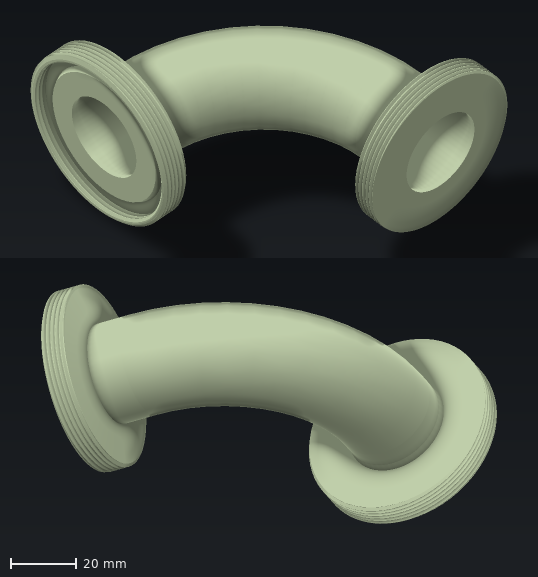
import cadquery as cq
import math


TUBE_RADIUS = 16.0
BORE_RADIUS = 14.4
BEND_RADIUS = 55.0
OUTLET_FACE_X = 76.0
OUTLET_AXIS_Y = 73.38

INLET_CREST_RADIUS = 30.5
INLET_THICKNESS = 9.4
INLET_FACE_RADIUS = 29.0
INLET_BEVEL_LENGTH = 0.5
INLET_NECK_RADIUS = 16.4
INLET_NECK_END = 12.0

SOCKET_ROOT_RADIUS = 28.8
SOCKET_DEPTH = 4.8
SEAT_BASE_RADIUS = 24.0
SEAT_TOP_RADIUS = 23.0
SEAT_HEIGHT = 1.9

OUTLET_CREST_RADIUS = 29.0
OUTLET_RIM_WIDTH = 8.0
OUTLET_CONE_END = 9.8

THREAD_PITCH = 1.5
THREAD_DEPTH = 0.95
CREST_WIDTH = 0.15
RIDGE_BASE_WIDTH = 1.35
RIDGE_EMBED = 0.1
OVERRUN_TURNS = 2
INLET_THREAD_PHASE = 0.85
SOCKET_THREAD_PHASE = 0.85
OUTLET_THREAD_PHASE = 0.75

INLET_FRAME = cq.Plane(origin=(0, 0, 0), xDir=(1, 0, 0), normal=(0, 1, 0))
OUTLET_FRAME = cq.Plane(origin=(OUTLET_FACE_X, OUTLET_AXIS_Y, 0), xDir=(0, 1, 0), normal=(-1, 0, 0))


def revolved(points):
    """Solid of revolution about local Z from (radius, depth) points."""
    profile = cq.Workplane("XZ").polyline(points).close()
    return profile.revolve(360, (0, 0, 0), (0, 1, 0))


def cylinder(radius, start, end):
    """Cylinder about local Z between two depths."""
    return cq.Workplane("XY").workplane(offset=start).circle(radius).extrude(end - start)


def helical_ridge(base_radius, tip_radius, first_crest, turns):
    """Helical ridge about local Z whose first crest is at the given depth on the local +X side."""
    helix = cq.Wire.makeHelix(
        THREAD_PITCH, turns * THREAD_PITCH, base_radius, cq.Vector(0, 0, first_crest)
    )
    return (
        cq.Workplane("XZ")
        .polyline([
            (base_radius, first_crest - RIDGE_BASE_WIDTH / 2),
            (tip_radius, first_crest - CREST_WIDTH / 2),
            (tip_radius, first_crest + CREST_WIDTH / 2),
            (base_radius, first_crest + RIDGE_BASE_WIDTH / 2),
        ])
        .close()
        .sweep(cq.Workplane(helix), isFrenet=True)
    )


def thread_span(length, phase):
    """Full-length rod limits, first crest and turns of a thread that overruns both ends."""
    first_crest = phase - OVERRUN_TURNS * THREAD_PITCH
    turns = math.ceil(length / THREAD_PITCH) + 2 * OVERRUN_TURNS
    last_crest = first_crest + turns * THREAD_PITCH
    return first_crest - THREAD_PITCH, last_crest + THREAD_PITCH, first_crest, turns


def threaded_rod(crest_radius, length, phase):
    """Externally threaded rod from depth 0 to length."""
    root_radius = crest_radius - THREAD_DEPTH
    start, end, first_crest, turns = thread_span(length, phase)
    ridge = helical_ridge(root_radius - RIDGE_EMBED, crest_radius, first_crest, turns)
    rod = cylinder(root_radius, start, end).union(ridge)
    return rod.intersect(cylinder(2 * crest_radius, 0, length))


def threaded_plug(root_radius, length, phase):
    """Void of an internally threaded hole: a rod with the thread ridge removed from it."""
    start, end, first_crest, turns = thread_span(length, phase)
    ridge = helical_ridge(root_radius + RIDGE_EMBED, root_radius - THREAD_DEPTH, first_crest, turns)
    plug = cylinder(root_radius, start, end).cut(ridge)
    return plug.intersect(cylinder(2 * root_radius, 0, length))


def place(body, frame):
    """Move a locally built flange into its frame."""
    return body.val().moved(cq.Location(frame))


def inlet_flange():
    seat_top = SOCKET_DEPTH - SEAT_HEIGHT
    rim = threaded_rod(INLET_CREST_RADIUS, INLET_THICKNESS, INLET_THREAD_PHASE)
    socket = threaded_plug(SOCKET_ROOT_RADIUS, SOCKET_DEPTH, SOCKET_THREAD_PHASE)
    core = revolved([
        (0, seat_top),
        (SEAT_TOP_RADIUS, seat_top),
        (SEAT_BASE_RADIUS, SOCKET_DEPTH),
        (SEAT_BASE_RADIUS, INLET_THICKNESS),
        (INLET_NECK_RADIUS, INLET_THICKNESS),
        (TUBE_RADIUS, INLET_NECK_END),
        (0, INLET_NECK_END),
    ])
    bevel_limit = revolved([
        (0, 0),
        (INLET_FACE_RADIUS, 0),
        (INLET_CREST_RADIUS, INLET_BEVEL_LENGTH),
        (2 * INLET_CREST_RADIUS, INLET_BEVEL_LENGTH),
        (2 * INLET_CREST_RADIUS, INLET_THICKNESS),
        (0, INLET_THICKNESS),
    ])
    rim = rim.intersect(bevel_limit)
    return place(rim.cut(socket).union(core), INLET_FRAME)


def outlet_flange():
    rim = threaded_rod(OUTLET_CREST_RADIUS, OUTLET_RIM_WIDTH, OUTLET_THREAD_PHASE)
    cone = revolved([
        (0, 0),
        (TUBE_RADIUS, 0),
        (OUTLET_CREST_RADIUS - THREAD_DEPTH, OUTLET_RIM_WIDTH),
        (TUBE_RADIUS, OUTLET_CONE_END),
        (0, OUTLET_CONE_END),
    ])
    return place(rim.union(cone), OUTLET_FRAME)


def along_elbow(radius, start_y, end_x):
    """Round bar following the elbow centreline from start_y to end_x."""
    bend_start_y = OUTLET_AXIS_Y - BEND_RADIUS
    diagonal = BEND_RADIUS * math.sqrt(0.5)
    path = (
        cq.Workplane("XY")
        .moveTo(0, start_y)
        .lineTo(0, bend_start_y)
        .threePointArc(
            (BEND_RADIUS - diagonal, bend_start_y + diagonal),
            (BEND_RADIUS, OUTLET_AXIS_Y),
        )
        .lineTo(end_x, OUTLET_AXIS_Y)
    )
    return cq.Workplane("XZ", origin=(0, start_y, 0)).circle(radius).sweep(path)


tube = along_elbow(TUBE_RADIUS, INLET_NECK_END, OUTLET_FACE_X - OUTLET_CONE_END)
bore = along_elbow(BORE_RADIUS, 0, OUTLET_FACE_X)
result = tube.union(inlet_flange()).union(outlet_flange()).cut(bore)